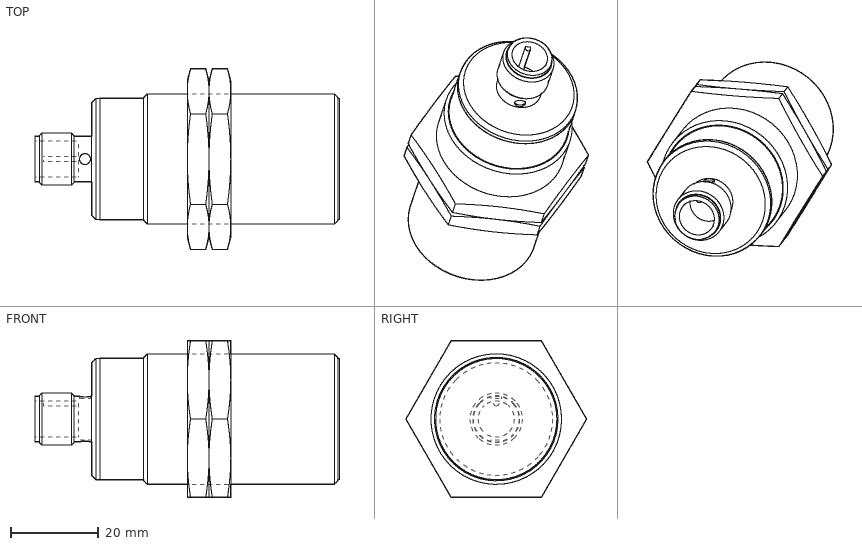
import cadquery as cq
import math

TOTAL_LENGTH = 70.0

NECK_DIAMETER = 10.5
COLLAR_DIAMETER = 12.0
COLLAR_ROOT_DIAMETER = 10.77
COLLAR_START = 1.0
COLLAR_END = 9.0
SOCKET_DIAMETER = 8.3
SOCKET_DEPTH = 10.0

KEY_WIDTH = 1.2
KEY_HEIGHT = 1.15
KEY_RECESS = 2.0

LAMP_DIAMETER = 2.5
LAMP_X = 11.5
LAMP_FLOOR = 4.75

BARREL_START = 13.0
BARREL_CHAMFER = 1.0
LIP_WIDTH = 1.0
LIP_DIAMETER = 27.9
BARREL_DIAMETER = 28.0
THREAD_START = 25.0
THREAD_DIAMETER = 30.0
THREAD_ROOT_DIAMETER = 28.38
FACE_CAP_DIAMETER = 27.85
FACE_CAP_HEIGHT = 0.4

NUT_COUNT = 2
NUT_SIDES = 6
FIRST_NUT_X = 35.0
NUT_THICKNESS = 5.0
NUT_ACROSS_FLATS = 36.0
NUT_CHAMFER_ANGLE = 15.0


def disc(diameter, start, end):
    """Cylinder on the X axis between two X positions."""
    return cq.Workplane("YZ", origin=(start, 0, 0)).circle(diameter / 2).extrude(end - start)


def make_connector():
    """Neck with a chamfered collar; it ends on the front face of the barrel."""
    collar_chamfer = (COLLAR_DIAMETER - COLLAR_ROOT_DIAMETER) / 2
    collar = disc(COLLAR_DIAMETER, COLLAR_START, COLLAR_END).edges().chamfer(collar_chamfer)
    return disc(NECK_DIAMETER, 0, BARREL_START).union(collar)


def make_barrel():
    """Chamfered lip, plain barrel, threaded sleeve and sensing face."""
    lip_start = BARREL_START + BARREL_CHAMFER
    lip_end = lip_start + LIP_WIDTH
    lip = disc(LIP_DIAMETER, BARREL_START, lip_end).faces("<X").chamfer(BARREL_CHAMFER)
    plain = disc(BARREL_DIAMETER, lip_end, THREAD_START)
    thread_end = TOTAL_LENGTH - FACE_CAP_HEIGHT
    thread_chamfer = (THREAD_DIAMETER - THREAD_ROOT_DIAMETER) / 2
    thread = disc(THREAD_DIAMETER, THREAD_START, thread_end).edges().chamfer(thread_chamfer)
    face_cap = disc(FACE_CAP_DIAMETER, thread_end, TOTAL_LENGTH)
    return lip.union(plain).union(thread).union(face_cap)


def make_lamp_recesses():
    """Flat-floored round recesses sunk into the top and bottom of the neck."""
    lamp = cq.Workplane("XY", origin=(LAMP_X, 0, LAMP_FLOOR)).circle(LAMP_DIAMETER / 2)
    top_recess = lamp.extrude(NECK_DIAMETER / 2 - LAMP_FLOOR)
    return top_recess.union(top_recess.mirror("XY"))


def make_socket():
    """Blind socket cavity, less the round-ended key on its upper wall."""
    key_radius = KEY_WIDTH / 2
    key_tip_z = SOCKET_DIAMETER / 2 - KEY_HEIGHT
    key_arc_z = key_tip_z + key_radius
    key_root_z = SOCKET_DIAMETER / 2
    key = (
        cq.Workplane("YZ", origin=(KEY_RECESS, 0, 0))
        .moveTo(-key_radius, key_root_z)
        .lineTo(-key_radius, key_arc_z)
        .threePointArc((0, key_tip_z), (key_radius, key_arc_z))
        .lineTo(key_radius, key_root_z)
        .close()
        .extrude(SOCKET_DEPTH - KEY_RECESS)
    )
    return disc(SOCKET_DIAMETER, 0, SOCKET_DEPTH).cut(key)


def make_sensor():
    body = make_connector().union(make_barrel())
    return body.cut(make_socket()).cut(make_lamp_recesses())


def make_nut(start):
    """Hexagon nut with corners on +Y and -Y and conical chamfers on both faces."""
    end = start + NUT_THICKNESS
    across_corners = NUT_ACROSS_FLATS / math.cos(math.pi / NUT_SIDES)
    flat_radius = NUT_ACROSS_FLATS / 2
    corner_radius = across_corners / 2
    corner_setback = (corner_radius - flat_radius) * math.tan(math.radians(NUT_CHAMFER_ANGLE))
    hexagon = (
        cq.Workplane("YZ", origin=(start, 0, 0))
        .polygon(NUT_SIDES, across_corners)
        .circle(THREAD_DIAMETER / 2)
        .extrude(NUT_THICKNESS)
    )
    chamfer_envelope = (
        cq.Workplane("XY")
        .moveTo(start, 0)
        .lineTo(start, flat_radius)
        .lineTo(start + corner_setback, corner_radius)
        .lineTo(end - corner_setback, corner_radius)
        .lineTo(end, flat_radius)
        .lineTo(end, 0)
        .close()
        .revolve(360, (0, 0, 0), (1, 0, 0))
    )
    return hexagon.intersect(chamfer_envelope)


sensor = make_sensor()
nuts = [make_nut(FIRST_NUT_X + index * NUT_THICKNESS) for index in range(NUT_COUNT)]

result = cq.Compound.makeCompound([sensor.val(), *[nut.val() for nut in nuts]])